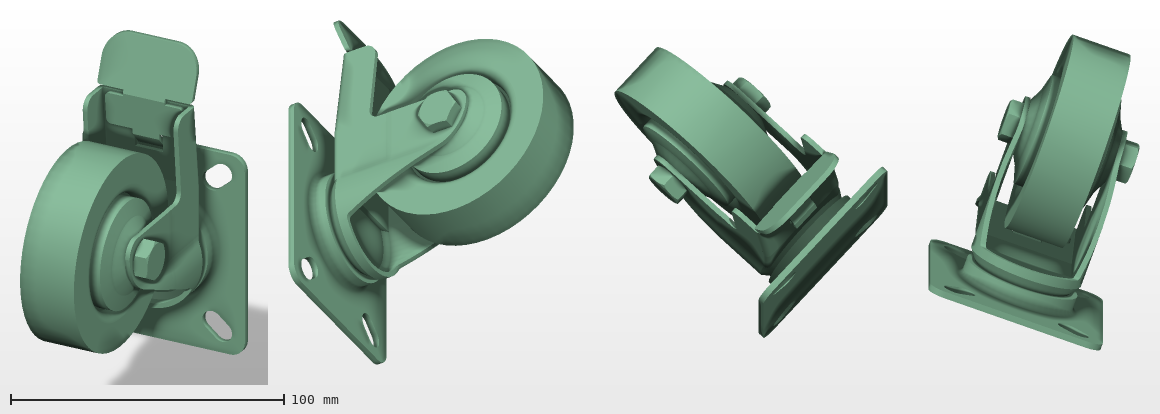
import cadquery as cq
import math


OVERALL_DEPTH = 95.0
OVERALL_HEIGHT = 125.9
SHEET = 1.9

PLATE_WIDTH = 67.0
PLATE_HEIGHT = 81.1
PLATE_THICKNESS = 2.4
PLATE_CORNER = 6.0
SLOT_RADIUS = 4.0
SLOT_OUTER_END = (24.2, 32.1)
SLOT_INNER_END = (20.0, 28.6)

CUP_RADIUS = 21.4
BOSS_FILLET = 1.9
BOSS_FACE_Y = -8.5
CUP_FLOOR_RADIUS = 18.4
CUP_HOLLOW_RADIUS = 17.5
CUP_RIM_Y = -16.2

WHEEL_RADIUS = 37.5
WHEEL_WIDTH = 22.2
AXLE_Y = WHEEL_RADIUS - OVERALL_DEPTH
AXLE_Z = 20.5
DISH_RADIUS = 26.2
RECESS_RADIUS = 22.2

CAP_RADIUS = 21.2
CAP_FLANGE_X = 13.3
CAP_CREASE_RADIUS = 15.0
CAP_CREASE_X = 15.1
CAP_TIP_RADIUS = 9.8

LEG_HALF_WIDTH = 19.6
LEG_JOG = 0.1
JOG_START_Y = -33.4
JOG_END_Y = -35.6
LEG_BLEND_RADIUS = 10.1
LEG_TOP_Z = 30.2
LEG_END_Y = -67.4
LEG_END_RADIUS = 6.4

HOUSING_TOP_Z = 64.1
WALL_Y = -10.6
WALL_TOP_Y = -14.5
WALL_BOTTOM_Z = 7.9
WALL_BEND_RADIUS = 2.1
CUP_SHOULDER_Y = WALL_Y - WALL_BEND_RADIUS

RIM_CORNER = (CUP_RIM_Y, -9.5)
RIM_CORNER_RADIUS = 1.6
LEG_SLOPE_END = (-55.2, 6.9)
LEG_END_MIDDLE = (-63.8, 13.7)
HOUSING_FOOT = (-26.0, LEG_TOP_Z)
HOUSING_FOOT_RADIUS = 3.8
HOUSING_FRONT = (-29.2, HOUSING_TOP_Z)
HOUSING_FRONT_RADIUS = 4.5

PADDLE_LEAN = 20.5
PADDLE_HALF_WIDTH = 19.5
PADDLE_TOP_Z = OVERALL_HEIGHT - PLATE_HEIGHT / 2
PADDLE_BOTTOM_Z = 65.7
PADDLE_TOP_RADIUS = 9.8
PADDLE_BOTTOM_RADIUS = 1.3
NECK_HALF_WIDTH = 8.5
FLANGE_HALF_WIDTH = 16.1
FLANGE_TOP_Z = 63.2
FLANGE_BOTTOM_Z = 50.1
FLANGE_CORNER = 1.9
TONGUE_HALF_WIDTH = 5.4
TONGUE_ROOT_Z = 48.6
TONGUE_KNEE = (-10.3, 43.8)
TONGUE_TIP = (-9.2, 40.2)
TONGUE_SLOT_HALF_WIDTH = 5.8
TONGUE_SLOT_BOTTOM_Z = 41.8
TONGUE_SLOT_TOP_Z = 49.4

HEX_FLATS = 14.0
HEX_CHAMFER = 0.6
HEAD_THICKNESS = 4.9
NUT_THICKNESS = 5.8
SHANK_RADIUS = 4.0

LEG_OUTER_X = LEG_HALF_WIDTH + LEG_JOG
LEG_INNER_X = LEG_OUTER_X - SHEET
WHEEL_FACE_X = WHEEL_WIDTH / 2
DISH_ROUND = DISH_RADIUS - RECESS_RADIUS
WEB_X = WHEEL_FACE_X - DISH_ROUND
WALL_SLOPE = (WALL_TOP_Y - WALL_Y) / (HOUSING_TOP_Z - LEG_TOP_Z)


def wall_inner_y(z):
    """Inside face of the leaning back wall at height z."""
    return WALL_Y - SHEET + WALL_SLOPE * (z - LEG_TOP_Z)


def turned_about_y(profile):
    """Solid of revolution about the swivel axis from (radius, y) points."""
    return cq.Workplane("XY").polyline(profile).close().revolve(360, (0, 0, 0), (0, 1, 0))


def axle_cylinder(radius, x_start, x_end):
    """Cylinder on the axle between two x positions."""
    return (
        cq.Workplane("YZ", origin=(x_start, AXLE_Y, AXLE_Z))
        .circle(radius)
        .extrude(x_end - x_start)
    )


def make_plate():
    plate = (
        cq.Workplane("XZ")
        .rect(PLATE_WIDTH, PLATE_HEIGHT)
        .extrude(PLATE_THICKNESS)
        .edges("|Y")
        .fillet(PLATE_CORNER)
    )
    boss = (
        cq.Workplane("XY")
        .moveTo(0, 0)
        .lineTo(0, BOSS_FACE_Y)
        .lineTo(CUP_RADIUS, BOSS_FACE_Y)
        .lineTo(CUP_RADIUS, -PLATE_THICKNESS - BOSS_FILLET)
        .radiusArc((CUP_RADIUS + BOSS_FILLET, -PLATE_THICKNESS), BOSS_FILLET)
        .lineTo(CUP_RADIUS + BOSS_FILLET, 0)
        .close()
        .revolve(360, (0, 0, 0), (0, 1, 0))
    )
    plate = plate.union(boss)
    for side_x in (-1, 1):
        for side_z in (-1, 1):
            plate = plate.cut(plate_slot(side_x, side_z))
    return plate


def plate_slot(side_x, side_z):
    run_x = SLOT_OUTER_END[0] - SLOT_INNER_END[0]
    run_z = SLOT_OUTER_END[1] - SLOT_INNER_END[1]
    middle_x = side_x * (SLOT_OUTER_END[0] + SLOT_INNER_END[0]) / 2
    middle_z = side_z * (SLOT_OUTER_END[1] + SLOT_INNER_END[1]) / 2
    angle = side_x * side_z * math.degrees(math.atan2(run_z, run_x))
    length = math.hypot(run_x, run_z) + 2 * SLOT_RADIUS
    return (
        cq.Workplane("XZ", origin=(middle_x, 0, middle_z))
        .slot2D(length, 2 * SLOT_RADIUS, angle)
        .extrude(PLATE_THICKNESS)
    )


def leg_section(y, half_width, radius, blend):
    """Section at one y: upright sides blending into the round underside of the cup."""
    blend_x = half_width + blend
    blend_z = math.sqrt((radius + blend) ** 2 - blend_x**2)
    half_angle = math.atan2(blend_z, blend_x) / 2
    middle_x = blend_x - blend * math.cos(half_angle)
    middle_z = blend_z - blend * math.sin(half_angle)
    round_x = blend_x * radius / (radius + blend)
    round_z = blend_z * radius / (radius + blend)
    return (
        cq.Workplane("XZ", origin=(0, y, 0))
        .moveTo(-half_width, LEG_TOP_Z)
        .lineTo(-half_width, blend_z)
        .threePointArc((-middle_x, middle_z), (-round_x, round_z))
        .threePointArc((0, -radius), (round_x, round_z))
        .threePointArc((middle_x, middle_z), (half_width, blend_z))
        .lineTo(half_width, LEG_TOP_Z)
        .close()
    )


def leg_volume(start_y, inset):
    """Both legs and the space between them as one solid, its sides moved in by inset."""
    radius = CUP_RADIUS - inset
    blend = LEG_BLEND_RADIUS + inset
    narrow = LEG_HALF_WIDTH - inset
    wide = narrow + LEG_JOG
    near = leg_section(start_y, narrow, radius, blend).extrude(start_y - JOG_START_Y)
    jog_start = leg_section(JOG_START_Y, narrow, radius, blend).val()
    jog_end = leg_section(JOG_END_Y, wide, radius, blend).val()
    jog = cq.Workplane(cq.Solid.makeLoft([jog_start, jog_end], True))
    far = leg_section(JOG_END_Y, wide, radius, blend).extrude(JOG_END_Y - LEG_END_Y)
    return near.union(jog).union(far)


def housing_volume(inset, bend_radius):
    """Brake housing as a block, its back and sides moved in by inset."""
    half_width = LEG_HALF_WIDTH - inset
    profile = [
        (WALL_Y - inset, WALL_BOTTOM_Z),
        (WALL_Y - inset, LEG_TOP_Z),
        (WALL_TOP_Y - inset, HOUSING_TOP_Z),
        (JOG_START_Y, HOUSING_TOP_Z),
        (JOG_START_Y, WALL_BOTTOM_Z),
    ]
    block = (
        cq.Workplane("YZ", origin=(-half_width, 0, 0))
        .polyline(profile)
        .close()
        .extrude(2 * half_width)
    )
    upright_corner = (WALL_Y - inset, (WALL_BOTTOM_Z + LEG_TOP_Z) / 2)
    leaning_corner = ((WALL_Y + WALL_TOP_Y) / 2 - inset, (LEG_TOP_Z + HOUSING_TOP_Z) / 2)
    bent_corners = []
    for x in (-half_width, half_width):
        for y, z in (upright_corner, leaning_corner):
            bent_corners += block.edges(cq.NearestToPointSelector((x, y, z))).vals()
    return block.newObject(bent_corners).fillet(bend_radius)


def fork_silhouette():
    """Side outline of cup rim, legs and housing as a slab across the plate width."""
    slab = (
        cq.Workplane("YZ", origin=(-PLATE_WIDTH / 2, 0, 0))
        .moveTo(BOSS_FACE_Y, -CUP_RADIUS)
        .lineTo(CUP_RIM_Y, -CUP_RADIUS)
        .lineTo(*RIM_CORNER)
        .lineTo(*LEG_SLOPE_END)
        .threePointArc(LEG_END_MIDDLE, (LEG_END_Y, LEG_TOP_Z - LEG_END_RADIUS))
        .radiusArc((LEG_END_Y + LEG_END_RADIUS, LEG_TOP_Z), LEG_END_RADIUS)
        .lineTo(*HOUSING_FOOT)
        .lineTo(*HOUSING_FRONT)
        .lineTo(BOSS_FACE_Y, HOUSING_TOP_Z)
        .close()
        .extrude(PLATE_WIDTH)
    )
    rounded_corners = [
        (RIM_CORNER, RIM_CORNER_RADIUS),
        (HOUSING_FOOT, HOUSING_FOOT_RADIUS),
        (HOUSING_FRONT, HOUSING_FRONT_RADIUS),
    ]
    for corner, radius in rounded_corners:
        slab = slab.edges(cq.NearestToPointSelector((0, *corner))).fillet(radius)
    return slab


def make_fork():
    wall_inside_y = WALL_Y - SHEET
    cup = turned_about_y([
        (0, BOSS_FACE_Y),
        (CUP_FLOOR_RADIUS, BOSS_FACE_Y),
        (CUP_RADIUS, CUP_SHOULDER_Y),
        (0, CUP_SHOULDER_Y),
    ])
    cup_hollow = turned_about_y([
        (0, BOSS_FACE_Y - SHEET),
        (CUP_HOLLOW_RADIUS, BOSS_FACE_Y - SHEET),
        (CUP_RADIUS - SHEET, wall_inside_y),
        (0, wall_inside_y),
    ])
    below_wall = (
        cq.Workplane("XY", origin=(0, 0, WALL_BOTTOM_Z))
        .rect(2 * CUP_RADIUS, 2 * CUP_RADIUS)
        .extrude(-2 * CUP_RADIUS)
    )
    tongue_slot = (
        cq.Workplane("XY", origin=(0, (WALL_Y + JOG_START_Y) / 2, TONGUE_SLOT_BOTTOM_Z))
        .rect(2 * TONGUE_SLOT_HALF_WIDTH, WALL_Y - JOG_START_Y)
        .extrude(TONGUE_SLOT_TOP_Z - TONGUE_SLOT_BOTTOM_Z)
    )
    hollow = (
        leg_volume(wall_inside_y, SHEET)
        .union(housing_volume(SHEET, WALL_BEND_RADIUS - SHEET))
        .union(cup_hollow.intersect(below_wall))
    )
    legs_and_housing = (
        leg_volume(CUP_SHOULDER_Y, 0)
        .union(housing_volume(0, WALL_BEND_RADIUS))
        .cut(hollow)
        .intersect(fork_silhouette())
    )
    fork = legs_and_housing.union(cup.cut(hollow))
    return fork.cut(tongue_slot).cut(axle_cylinder(SHANK_RADIUS, -LEG_OUTER_X, LEG_OUTER_X))


def thickened(path, thickness):
    """Closed outline of a bent sheet from the (y, z) points of its back face, listed upward."""
    def normal(start, end):
        length = math.dist(start, end)
        return ((start[1] - end[1]) / length, (end[0] - start[0]) / length)

    normals = [normal(a, b) for a, b in zip(path, path[1:])]
    front = []
    for point, before, after in zip(path, normals[:1] + normals, normals + normals[-1:]):
        stretch = thickness / (1 + before[0] * after[0] + before[1] * after[1])
        front.append((
            point[0] + stretch * (before[0] + after[0]),
            point[1] + stretch * (before[1] + after[1]),
        ))
    return path + front[::-1]


def pedal_outline():
    """Pedal outline across X and Z, as a block deep enough for the whole pedal."""
    def panel(half_width, bottom_z, top_z):
        return (
            cq.Workplane("XZ", origin=(0, 0, (bottom_z + top_z) / 2))
            .rect(2 * half_width, top_z - bottom_z)
            .extrude(OVERALL_DEPTH)
        )

    paddle = (
        panel(PADDLE_HALF_WIDTH, PADDLE_BOTTOM_Z, PADDLE_TOP_Z)
        .edges("|Y and >Z")
        .fillet(PADDLE_TOP_RADIUS)
        .edges("|Y and <Z")
        .fillet(PADDLE_BOTTOM_RADIUS)
    )
    flange = panel(FLANGE_HALF_WIDTH, FLANGE_BOTTOM_Z, FLANGE_TOP_Z).edges("|Y").fillet(FLANGE_CORNER)
    neck = panel(NECK_HALF_WIDTH, FLANGE_BOTTOM_Z, PADDLE_TOP_Z - PADDLE_TOP_RADIUS)
    tongue = panel(TONGUE_HALF_WIDTH, 0, FLANGE_TOP_Z)
    return paddle.union(flange).union(neck).union(tongue)


def make_brake_pedal():
    lean = math.tan(math.radians(PADDLE_LEAN))
    bend = (wall_inner_y(HOUSING_TOP_Z), HOUSING_TOP_Z)
    rise = PADDLE_TOP_Z + SHEET - HOUSING_TOP_Z
    end = (bend[0] + lean * rise, bend[1] + rise)
    path = [TONGUE_TIP, TONGUE_KNEE, (wall_inner_y(TONGUE_ROOT_Z), TONGUE_ROOT_Z), bend, end]
    sheet = (
        cq.Workplane("YZ", origin=(-PADDLE_HALF_WIDTH, 0, 0))
        .polyline(thickened(path, SHEET))
        .close()
        .extrude(2 * PADDLE_HALF_WIDTH)
    )
    return sheet.intersect(pedal_outline())


def make_wheel():
    return (
        cq.Workplane("XY")
        .moveTo(-WEB_X, SHANK_RADIUS)
        .lineTo(-WEB_X, RECESS_RADIUS)
        .radiusArc((-WHEEL_FACE_X, DISH_RADIUS), DISH_ROUND)
        .lineTo(-WHEEL_FACE_X, WHEEL_RADIUS)
        .lineTo(WHEEL_FACE_X, WHEEL_RADIUS)
        .lineTo(WHEEL_FACE_X, DISH_RADIUS)
        .radiusArc((WEB_X, RECESS_RADIUS), DISH_ROUND)
        .lineTo(WEB_X, SHANK_RADIUS)
        .close()
        .revolve(360, (0, 0, 0), (1, 0, 0))
        .translate((0, AXLE_Y, AXLE_Z))
    )


def make_hub_cap(side):
    profile = [
        (side * WEB_X, SHANK_RADIUS),
        (side * WEB_X, CAP_RADIUS),
        (side * CAP_FLANGE_X, CAP_RADIUS),
        (side * CAP_CREASE_X, CAP_CREASE_RADIUS),
        (side * LEG_INNER_X, CAP_TIP_RADIUS),
        (side * LEG_INNER_X, SHANK_RADIUS),
    ]
    return (
        cq.Workplane("XY")
        .polyline(profile)
        .close()
        .revolve(360, (0, 0, 0), (1, 0, 0))
        .translate((0, AXLE_Y, AXLE_Z))
    )


def hexagon(x_start, thickness, turn, chamfered_ends):
    """Hexagon on the axle, its corners bevelled at the chosen ends."""
    corner_diameter = HEX_FLATS / math.cos(math.pi / 6)
    prism = (
        cq.Workplane("YZ", origin=(x_start, 0, 0))
        .transformed(rotate=(0, 0, turn))
        .polygon(6, corner_diameter)
        .extrude(thickness)
    )
    bevel = (corner_diameter - HEX_FLATS) / 2
    blank = cq.Workplane("YZ", origin=(x_start, 0, 0)).circle(corner_diameter / 2).extrude(thickness)
    for end in chamfered_ends:
        blank = blank.faces(end).chamfer(HEX_CHAMFER, bevel)
    return prism.intersect(blank).translate((0, AXLE_Y, AXLE_Z))


def make_bolt():
    head = hexagon(-LEG_OUTER_X - HEAD_THICKNESS, HEAD_THICKNESS, 0, ["<X"])
    return head.union(axle_cylinder(SHANK_RADIUS, -LEG_OUTER_X, LEG_OUTER_X + NUT_THICKNESS))


def make_nut():
    nut = hexagon(LEG_OUTER_X, NUT_THICKNESS, 30, ["<X", ">X"])
    return nut.cut(axle_cylinder(SHANK_RADIUS, LEG_OUTER_X, LEG_OUTER_X + NUT_THICKNESS))


plate = make_plate()
fork = make_fork()
brake_pedal = make_brake_pedal()
wheel = make_wheel()
hub_caps = [make_hub_cap(side) for side in (-1, 1)]
bolt = make_bolt()
nut = make_nut()

result = cq.Compound.makeCompound([
    plate.val(),
    fork.val(),
    brake_pedal.val(),
    wheel.val(),
    *[cap.val() for cap in hub_caps],
    bolt.val(),
    nut.val(),
])